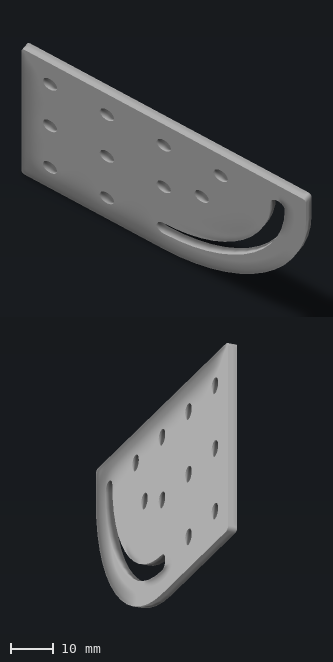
import cadquery as cq
import math

length = 80.0
height = 48.0
thickness = 2.3
corner_radius = 1.0

hole_diameter = 4.0
hole_pitch = 16.0
edge_margin = 8.0
holes_per_row = (2, 3, 4)
extra_hole_x = 50.6
extra_hole_z = 28.1

outer_radius = 40.0
pivot_x = length - outer_radius
pivot_z = outer_radius
slot_radius = outer_radius - edge_margin
slot_width = hole_diameter


def quarter_arc_middle(radius):
    """Middle point of the lower-right quarter arc about the pivot."""
    offset = radius * math.sqrt(0.5)
    return (pivot_x + offset, pivot_z - offset)


def make_plate():
    """Plate with a quarter-round lower-right corner and three small roundings."""
    plate = (
        cq.Workplane("XZ")
        .lineTo(pivot_x, 0)
        .threePointArc(quarter_arc_middle(outer_radius), (length, pivot_z))
        .lineTo(length, height)
        .lineTo(0, height)
        .close()
        .extrude(thickness)
    )
    square_corners = plate.edges("(|Y and <X) or (|Y and >X and >Z)")
    return square_corners.fillet(corner_radius)


def make_holes():
    """Triangular grid of round holes, plus one hole off the grid."""
    centres = [
        (edge_margin + column * hole_pitch, edge_margin + row * hole_pitch)
        for row, count in enumerate(holes_per_row)
        for column in range(count)
    ]
    centres.append((extra_hole_x, extra_hole_z))
    return cq.Workplane("XZ").pushPoints(centres).circle(hole_diameter / 2).extrude(thickness)


def make_slot():
    """Quarter-circle slot with round ends."""
    inner = slot_radius - slot_width / 2
    outer = slot_radius + slot_width / 2
    end_bulge = slot_width / 2
    return (
        cq.Workplane("XZ")
        .moveTo(pivot_x, pivot_z - outer)
        .threePointArc(quarter_arc_middle(outer), (pivot_x + outer, pivot_z))
        .threePointArc((pivot_x + slot_radius, pivot_z + end_bulge), (pivot_x + inner, pivot_z))
        .threePointArc(quarter_arc_middle(inner), (pivot_x, pivot_z - inner))
        .threePointArc((pivot_x - end_bulge, pivot_z - slot_radius), (pivot_x, pivot_z - outer))
        .close()
        .extrude(thickness)
    )


result = make_plate().cut(make_holes()).cut(make_slot())